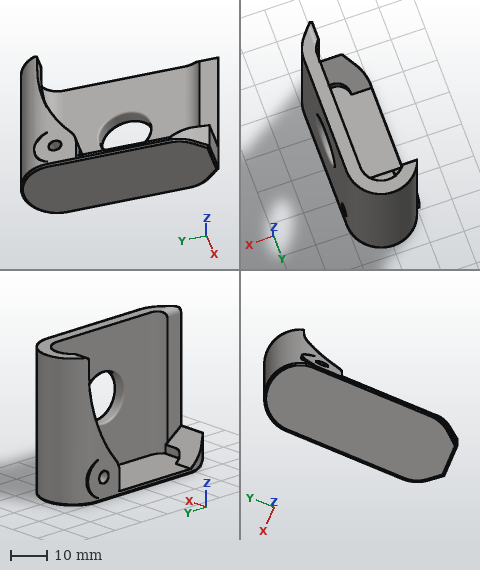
import cadquery as cq
import math

length = 55.2
width = 20.1
height = 43.2
wall = 4.0
floor = 1.5
base_chamfer = 0.55
taper_angle = 40.0

end_radius = width / 2
mid_x = width / 2
back_y = length - end_radius
front_y = end_radius
inner_radius = end_radius - wall
sweep = math.radians(taper_angle)

opening_x = 14.0
opening_top_radius = 2.05
lip_top = 8.35
lip_start = 9.7
lip_radius = 4.1

boss_y = 42.9
boss_z = 7.0
boss_radius = 6.0
pin_diameter = 3.6

edge_top_y = 48.15
edge_straight_z = 38.1
edge_top_radius = 1.0

window_y = 27.45
window_z = 22.45
window_diameter = 14.9
window_round = 0.6


def side_arc_point(radius, angle, side):
    """Point on a front corner arc; side is -1 for low X and 1 for high X."""
    x = mid_x + side * radius * math.cos(angle)
    return x, front_y - radius * math.sin(angle)


def taper_x_shift(drop):
    """X travel of a taper face as it runs forward by drop."""
    return drop * math.tan(sweep)


def make_body():
    left_end = side_arc_point(end_radius, sweep, -1)
    right_end = side_arc_point(end_radius, sweep, 1)
    nose_shift = taper_x_shift(right_end[1])
    body = (
        cq.Workplane("XY")
        .moveTo(0, front_y)
        .lineTo(0, back_y)
        .threePointArc((mid_x, length), (width, back_y))
        .lineTo(width, front_y)
        .threePointArc(side_arc_point(end_radius, sweep / 2, 1), right_end)
        .lineTo(right_end[0] - nose_shift, 0)
        .lineTo(left_end[0] + nose_shift, 0)
        .lineTo(*left_end)
        .threePointArc(side_arc_point(end_radius, sweep / 2, -1), (0, front_y))
        .close()
        .extrude(height)
    )
    return body.faces("<Z").chamfer(base_chamfer)


def make_cavity():
    taper_start = side_arc_point(inner_radius, sweep, 1)
    taper_end_y = taper_start[1] - (taper_start[0] - opening_x) / math.tan(sweep)
    lip_y = front_y - lip_radius
    return (
        cq.Workplane("XY", origin=(0, 0, floor))
        .moveTo(wall, front_y)
        .lineTo(wall, back_y)
        .threePointArc((mid_x, length - wall), (width - wall, back_y))
        .lineTo(width - wall, front_y)
        .threePointArc(side_arc_point(inner_radius, sweep / 2, 1), taper_start)
        .lineTo(opening_x, taper_end_y)
        .lineTo(opening_x, lip_y)
        .lineTo(mid_x, lip_y)
        .threePointArc(side_arc_point(lip_radius, math.pi / 4, -1), (mid_x - lip_radius, front_y))
        .close()
        .extrude(height)
    )


def make_opening():
    back_offset = edge_top_y - boss_y
    rise = edge_straight_z - boss_z
    edge_radius = (rise**2 + back_offset**2 - boss_radius**2) / (2 * (boss_radius + back_offset))
    edge_center_y = edge_top_y - edge_radius
    end_angle = math.atan2(rise, boss_y - edge_center_y)

    def edge_point(angle):
        y = edge_center_y + edge_radius * math.cos(angle)
        return y, edge_straight_z - edge_radius * math.sin(angle)

    tangent_point = edge_point(end_angle)
    boss_front = boss_y - boss_radius
    half_angle = end_angle / 2
    boss_mid = (boss_y - boss_radius * math.cos(half_angle), boss_z + boss_radius * math.sin(half_angle))
    round_shift = edge_top_radius * (1 - math.sqrt(0.5))
    return (
        cq.Workplane("YZ")
        .moveTo(0, height)
        .lineTo(edge_top_y + edge_top_radius, height)
        .threePointArc(
            (edge_top_y + round_shift, height - round_shift),
            (edge_top_y, height - edge_top_radius),
        )
        .lineTo(edge_top_y, edge_straight_z)
        .threePointArc(edge_point(half_angle), tangent_point)
        .threePointArc(boss_mid, (boss_front, boss_z))
        .lineTo(boss_front, floor)
        .lineTo(lip_start, floor)
        .lineTo(0, lip_top)
        .close()
        .extrude(opening_x)
    )


def make_boss():
    boss = cq.Workplane("YZ").center(boss_y, boss_z).circle(boss_radius).extrude(width - wall)
    below_floor = cq.Workplane("XY").box(width, length, floor, centered=False)
    return boss.cut(below_floor)


def make_window():
    """Round cutter that flares out tangentially into a rounded rim at both plate faces."""
    bore_radius = window_diameter / 2
    rim_radius = bore_radius + window_round
    inner_face = width - wall
    arc_inset = window_round * (1 - math.sqrt(0.5))
    profile = (
        cq.Workplane("XY", origin=(0, window_y, window_z))
        .moveTo(inner_face, 0)
        .lineTo(inner_face, rim_radius)
        .threePointArc(
            (inner_face + arc_inset, bore_radius + arc_inset),
            (inner_face + window_round, bore_radius),
        )
        .lineTo(width - window_round, bore_radius)
        .threePointArc((width - arc_inset, bore_radius + arc_inset), (width, rim_radius))
        .lineTo(width, 0)
        .close()
    )
    return profile.revolve(360, (0, 0, 0), (1, 0, 0))


def make_pin_hole():
    return cq.Workplane("YZ").center(boss_y, boss_z).circle(pin_diameter / 2).extrude(width)


shell = make_body().cut(make_cavity()).cut(make_opening())

edge_margin = 0.05
front_edge = cq.selectors.BoxSelector(
    (opening_x - edge_margin, 0, height - edge_margin),
    (opening_x + edge_margin, front_y, height + edge_margin),
)
shell = shell.edges(front_edge).fillet(opening_top_radius)

result = shell.union(make_boss()).cut(make_window()).cut(make_pin_hole())